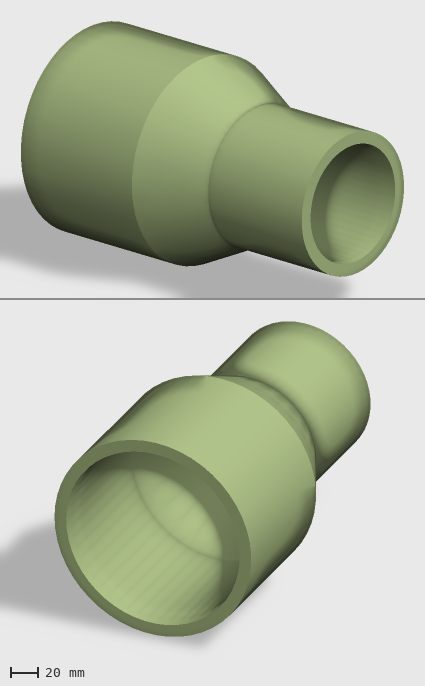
import cadquery as cq

total_length = 260.0
large_end_length = 112.0
cone_length = 53.5
large_diameter = 160.0
small_diameter = 110.0
large_bore = 141.0
small_bore = 91.0

cone_start = large_end_length
cone_end = cone_start + cone_length


def stepped_cone(large, small):
    """Solid of revolution: large cylinder, cone, then small cylinder."""
    profile = (
        cq.Workplane("XY")
        .moveTo(0, 0)
        .lineTo(0, large / 2)
        .lineTo(cone_start, large / 2)
        .lineTo(cone_end, small / 2)
        .lineTo(total_length, small / 2)
        .lineTo(total_length, 0)
        .close()
    )
    return profile.revolve(360, (0, 0, 0), (1, 0, 0))


outer_body = stepped_cone(large_diameter, small_diameter)
bore = stepped_cone(large_bore, small_bore)
result = outer_body.cut(bore)